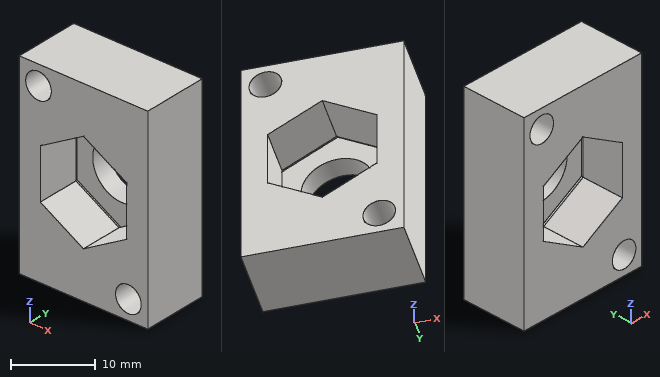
import cadquery as cq
import math

width = 20.0
thickness = 10.0
height = 30.0

entry_across_flats = 13.4
entry_depth = 6.5
undercut_across_flats = 13.92
pocket_depth = 7.0
bore_diameter = 9.0

mount_diameter = 4.0
mount_x = 7.0
mount_z = 12.0


def plane_at_depth(depth):
    """Sketch plane below the -Y face: local x is X, local y is Z."""
    return cq.Workplane("XZ", origin=(0, depth - thickness / 2, 0))


def through_cylinder(diameter, x, z):
    return plane_at_depth(0).center(x, z).circle(diameter / 2).extrude(-thickness)


def hex_prism(across_flats, start_depth, end_depth):
    """Hexagonal prism along Y with corners pointing up and down."""
    across_corners = across_flats / math.cos(math.pi / 6)
    return (
        plane_at_depth(start_depth)
        .transformed(rotate=(0, 0, 90))
        .polygon(6, across_corners)
        .extrude(start_depth - end_depth)
    )


result = cq.Workplane("XY").box(width, thickness, height)
result = result.cut(hex_prism(entry_across_flats, 0, entry_depth))
result = result.cut(hex_prism(undercut_across_flats, entry_depth, pocket_depth))
result = result.cut(through_cylinder(bore_diameter, 0, 0))
for x, z in [(-mount_x, mount_z), (mount_x, -mount_z)]:
    result = result.cut(through_cylinder(mount_diameter, x, z))